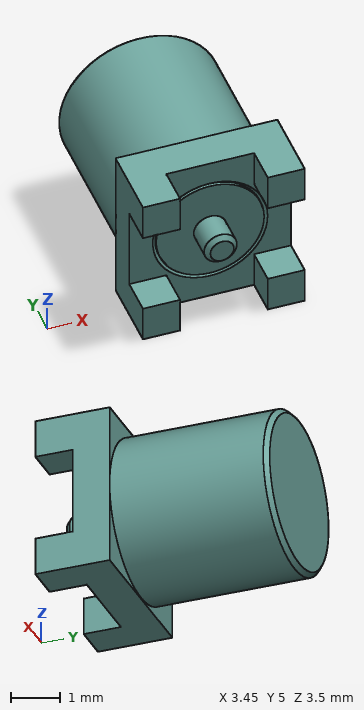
import cadquery as cq

total_length = 5.0
base_width = 3.45
base_height = 3.5
base_length = 1.6

foot_length = 0.8
channel_width = 1.87

barrel_diameter = base_width
barrel_chamfer = 0.1

ring_diameter = 2.45
ring_depth = 0.075
insulator_diameter = ring_diameter - 2 * ring_depth

pin_diameter = 0.7
pin_protrusion = 0.7
pin_chamfer = 0.1

plate_front = foot_length


def disc_sketch(y, diameter):
    """Circle about the Y axis at the given Y; positive extrusion runs toward -Y."""
    return cq.Workplane("XZ", origin=(0, y, 0)).circle(diameter / 2)


def make_base():
    centered = (True, False, True)
    block = cq.Workplane("XY").box(base_width, base_length, base_height, centered=centered)
    channel_x = cq.Workplane("XY").box(base_width, foot_length, channel_width, centered=centered)
    channel_z = cq.Workplane("XY").box(channel_width, foot_length, base_height, centered=centered)
    return block.cut(channel_x).cut(channel_z)


def make_barrel():
    barrel = disc_sketch(base_length, barrel_diameter).extrude(base_length - total_length)
    return barrel.faces(">Y").chamfer(barrel_chamfer)


def make_ring_groove():
    countersink = disc_sketch(plate_front, ring_diameter).extrude(-ring_depth, taper=45)
    insulator = disc_sketch(plate_front, insulator_diameter).extrude(-ring_depth)
    return countersink.cut(insulator)


def make_pin():
    pin = disc_sketch(plate_front, pin_diameter).extrude(pin_protrusion)
    return pin.faces("<Y").chamfer(pin_chamfer)


result = make_base().union(make_barrel()).cut(make_ring_groove()).union(make_pin())